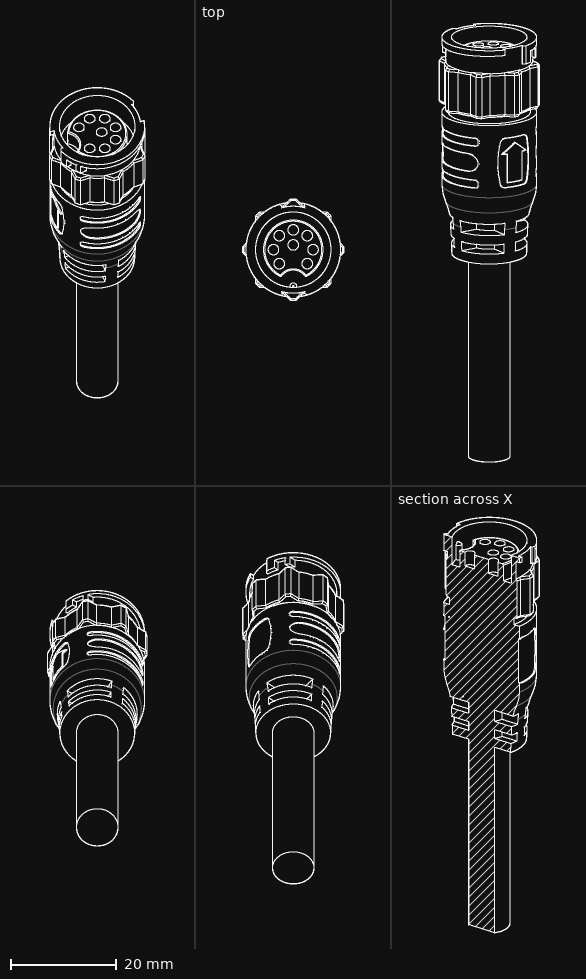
import cadquery as cq
import math


COUPLING_TOP_Z = -4.7
COUPLING_BOTTOM_Z = -13.4
BODY_TOP_Z = -14.8
SHOULDER_Z = -29.1
INFLECTION_Z = -32.3
SLEEVE_TOP_Z = -36.1
SLEEVE_BOTTOM_Z = -42.8
CABLE_END_Z = -83.0

BARREL_R = 8.25
NECK_R = 7.8
BODY_R = 9.0
INFLECTION_R = 8.35
SLEEVE_TOP_R = 7.4
SLEEVE_BOTTOM_R = 7.1
CABLE_R = 3.95

SOCKET_R = 7.15
SOCKET_DEPTH = 6.0
INSERT_R = 5.63
INSERT_TOP_Z = -2.4
INSERT_CHAMFER = 0.23
KEYWAY_R = 2.8
KEYWAY_Y = -6.66
CONTACT_HOLE_R = 1.0
CONTACT_HOLE_DEPTH = 3.0
CONTACT_CIRCLE_R = 3.75
CONTACT_STEP = 45
CONTACT_START = -45
CONTACT_COUNT = 7
CENTRE_CONTACT_Y = 0.9
SOCKET_KEY_R = 0.65
SOCKET_KEY_Y = -6.95
SOCKET_KEY_TOP_Z = INSERT_TOP_Z
SOCKET_KEY_BEVEL = 0.5

RIM_R = 9.0
RIM_MEAN_HEIGHT = 1.25
RIM_RAMP_SLOPE = 0.02
RIM_RAMP_ANGLE = math.degrees(math.atan(RIM_RAMP_SLOPE))
RIM_NOTCH_HALF_WIDTH = 2.15
STOP_LUG_WIDTH = 2.0
STOP_BEVEL_WIDTH = 0.55
STOP_BEVEL_START_R = 8.55
STOP_LUG_BOTTOM_Z = -3.6
DETENT_LUG_X = 5.9
DETENT_LUG_WIDTH = 0.7
DETENT_LUG_BOTTOM_Z = -3.4

RIB_COUNT = 8
RIB_TIP_R = 9.585
RIB_TIP_HALF_WIDTH = 0.55
RIB_BASE_HALF_WIDTH = 1.9
COUPLING_R = 8.5
COUPLING_BEVEL = 0.3
COUPLING_BEVEL_HEIGHT = 0.45

RECESS_DEPTH = 0.25
GRIP_CENTRE_Z = -22.4
GRIP_LENGTH = 12.3
GRIP_SPACING = 4.15
WIDE_GRIP_HEIGHT = 3.5
NARROW_GRIP_HEIGHT = 1.55
NARROW_GRIP_CORNER_R = 0.5

PANEL_HALF_HEIGHT = 4.9
PANEL_END_HALF_WIDTH = 2.85
PANEL_MID_HALF_WIDTH = 3.5
PANEL_CORNER_R = 1.0
ARROW_TIP_Z = -18.6
ARROW_HEAD_Z = -20.65
ARROW_TAIL_Z = -26.35
ARROW_HEAD_HALF_WIDTH = 2.7
ARROW_SHAFT_HALF_WIDTH = 1.67

WINDOW_ROWS = [(-34.8, -37.1), (-39.0, -40.8)]
WEB_HALF_WIDTH = 1.3

REACH = 12.0


def cylinder(radius, top_z, bottom_z):
    return cq.Workplane("XY").workplane(offset=bottom_z).circle(radius).extrude(top_z - bottom_z)


def block(x_range, y_range, z_range):
    sizes = [high - low for low, high in (x_range, y_range, z_range)]
    return cq.Workplane("XY").box(*sizes, centered=False).translate((x_range[0], y_range[0], z_range[0]))


def turned_shape():
    """Barrel, neck, body with its S-shaped shoulder, tapered sleeve and cable."""
    return (
        cq.Workplane("XZ")
        .moveTo(0, 0)
        .lineTo(BARREL_R, 0)
        .lineTo(BARREL_R, COUPLING_BOTTOM_Z)
        .lineTo(NECK_R, COUPLING_BOTTOM_Z)
        .lineTo(NECK_R, BODY_TOP_Z)
        .lineTo(BODY_R, BODY_TOP_Z)
        .lineTo(BODY_R, SHOULDER_Z)
        .tangentArcPoint((INFLECTION_R, INFLECTION_Z), relative=False)
        .tangentArcPoint((SLEEVE_TOP_R, SLEEVE_TOP_Z), relative=False)
        .lineTo(SLEEVE_BOTTOM_R, SLEEVE_BOTTOM_Z)
        .lineTo(CABLE_R, SLEEVE_BOTTOM_Z)
        .lineTo(CABLE_R, CABLE_END_Z)
        .lineTo(0, CABLE_END_Z)
        .close()
        .revolve(360, (0, 0, 0), (0, 1, 0))
    )


def stop_bevel():
    """Wedge that slants the leading side of the stop lug where it faces the entry notch."""
    bevel_end_x = RIM_NOTCH_HALF_WIDTH + STOP_BEVEL_WIDTH
    start_y = -math.sqrt(STOP_BEVEL_START_R**2 - RIM_NOTCH_HALF_WIDTH**2)
    end_y = -math.sqrt(RIM_R**2 - bevel_end_x**2)
    corners = [(RIM_NOTCH_HALF_WIDTH, start_y), (bevel_end_x, end_y)]
    corners += [(bevel_end_x, -REACH), (RIM_NOTCH_HALF_WIDTH, -REACH)]
    return cq.Workplane("XY").polyline(corners).close().extrude(COUPLING_TOP_Z)


def bayonet_rim():
    """Rim with a ramped underside, two entry notches and the locking lugs, alike every half turn."""
    below = block((0, REACH), (-REACH, REACH), (-REACH, -RIM_MEAN_HEIGHT))
    below = below.rotate((0, 0, -RIM_MEAN_HEIGHT), (1, 0, -RIM_MEAN_HEIGHT), RIM_RAMP_ANGLE)
    rim_tall = cylinder(RIM_R, 0, COUPLING_TOP_Z)
    sector = block((RIM_NOTCH_HALF_WIDTH, REACH), (-REACH, REACH), (COUPLING_TOP_Z, 0))
    half = rim_tall.intersect(sector).cut(below)
    for start, width, bottom in (
        (RIM_NOTCH_HALF_WIDTH, STOP_LUG_WIDTH, STOP_LUG_BOTTOM_Z),
        (DETENT_LUG_X, DETENT_LUG_WIDTH, DETENT_LUG_BOTTOM_Z),
    ):
        half = half.union(rim_tall.intersect(block((start, start + width), (-REACH, 0), (bottom, 0))))
    half = half.cut(stop_bevel())
    return half.union(half.rotate((0, 0, 0), (0, 0, 1), 180))


def coupling_section(inset):
    """Ring section with its ribs, drawn smaller by the inset."""
    radius = COUPLING_R - inset
    tip_r = RIB_TIP_R - inset
    flank_angle = math.atan2(RIB_TIP_R - COUPLING_R, RIB_BASE_HALF_WIDTH - RIB_TIP_HALF_WIDTH)
    tip_half = RIB_TIP_HALF_WIDTH - inset * math.tan(flank_angle / 2)
    base_half = RIB_BASE_HALF_WIDTH - inset * math.tan(flank_angle / 2)
    base_x = math.sqrt(radius**2 - base_half**2)
    rib = [(0, -base_half), (base_x, -base_half), (tip_r, -tip_half)]
    rib += [(tip_r, tip_half), (base_x, base_half), (0, base_half)]
    return radius, rib


def coupling_ring():
    """Ring with bevelled ribs; each bevel is lofted between two sections."""
    full_radius, full_rib = coupling_section(0)
    end_radius, end_rib = coupling_section(COUPLING_BEVEL)
    levels = [
        COUPLING_BOTTOM_Z,
        COUPLING_BOTTOM_Z + COUPLING_BEVEL_HEIGHT,
        COUPLING_TOP_Z - COUPLING_BEVEL_HEIGHT,
        COUPLING_TOP_Z,
    ]
    sections = [(end_radius, end_rib), (full_radius, full_rib), (full_radius, full_rib), (end_radius, end_rib)]
    ring = (
        cq.Workplane("XZ")
        .polyline([(0, levels[0])] + [(s[0], z) for s, z in zip(sections, levels)] + [(0, levels[-1])])
        .close()
        .revolve(360, (0, 0, 0), (0, 1, 0))
    )
    rib = None
    for index in range(len(levels) - 1):
        piece = (
            cq.Workplane("XY")
            .workplane(offset=levels[index])
            .polyline(sections[index][1])
            .close()
            .workplane(offset=levels[index + 1] - levels[index])
            .polyline(sections[index + 1][1])
            .close()
            .loft(ruled=True)
        )
        rib = piece if rib is None else rib.union(piece)
    for index in range(RIB_COUNT):
        ring = ring.union(rib.rotate((0, 0, 0), (0, 0, 1), index * 360 / RIB_COUNT))
    return ring


def contact_insert():
    """Keyed insert standing on the socket floor, with its contact holes."""
    insert = cylinder(INSERT_R, INSERT_TOP_Z, -SOCKET_DEPTH)
    keyway = cylinder(KEYWAY_R, 0, -SOCKET_DEPTH).translate((0, KEYWAY_Y, 0))
    insert = insert.cut(keyway).faces(">Z").chamfer(INSERT_CHAMFER)
    angles = [math.radians(CONTACT_START + i * CONTACT_STEP) for i in range(CONTACT_COUNT)]
    places = [(CONTACT_CIRCLE_R * math.cos(a), CONTACT_CIRCLE_R * math.sin(a)) for a in angles]
    places.append((0, CENTRE_CONTACT_Y))
    holes = (
        cq.Workplane("XY")
        .workplane(offset=INSERT_TOP_Z)
        .pushPoints(places)
        .circle(CONTACT_HOLE_R)
        .extrude(-CONTACT_HOLE_DEPTH)
    )
    return insert.cut(holes)


def socket_key():
    """Round-nosed key rib on the socket wall with a conical lead-in at its top."""
    peg = cylinder(SOCKET_KEY_R, SOCKET_KEY_TOP_Z, -SOCKET_DEPTH)
    return peg.faces(">Z").chamfer(SOCKET_KEY_BEVEL).translate((0, SOCKET_KEY_Y, 0))


def recess_shell():
    """Thin outer layer of the body, into which the recesses are sunk."""
    outer = cylinder(BODY_R + RECESS_DEPTH, BODY_TOP_Z, SHOULDER_Z)
    return outer.cut(cylinder(BODY_R - RECESS_DEPTH, BODY_TOP_Z, SHOULDER_Z))


def grip_recesses():
    """One wide and two narrow recesses on each X side."""
    plane = cq.Workplane("YZ", origin=(-REACH, 0, GRIP_CENTRE_Z))
    tools = plane.slot2D(GRIP_LENGTH, WIDE_GRIP_HEIGHT).extrude(2 * REACH)
    narrow = plane.rect(GRIP_LENGTH, NARROW_GRIP_HEIGHT).extrude(2 * REACH)
    narrow = narrow.edges("|X").fillet(NARROW_GRIP_CORNER_R)
    for side in (-1, 1):
        tools = tools.union(narrow.translate((0, 0, side * GRIP_SPACING)))
    return tools.intersect(recess_shell())


def arrow_prism():
    right_side = [
        (ARROW_HEAD_HALF_WIDTH, ARROW_HEAD_Z),
        (ARROW_SHAFT_HALF_WIDTH, ARROW_HEAD_Z),
        (ARROW_SHAFT_HALF_WIDTH, ARROW_TAIL_Z),
    ]
    left_side = [(-x, z) for x, z in reversed(right_side)]
    return cq.Workplane("XZ").polyline([(0, ARROW_TIP_Z)] + right_side + left_side).close().extrude(REACH)


def panel_recesses():
    """Bulging panel on each Y side; the -Y panel keeps a raised arrow."""
    top_z = GRIP_CENTRE_Z + PANEL_HALF_HEIGHT
    bottom_z = GRIP_CENTRE_Z - PANEL_HALF_HEIGHT
    panel = (
        cq.Workplane("XZ")
        .moveTo(-PANEL_END_HALF_WIDTH, top_z)
        .lineTo(PANEL_END_HALF_WIDTH, top_z)
        .threePointArc((PANEL_MID_HALF_WIDTH, GRIP_CENTRE_Z), (PANEL_END_HALF_WIDTH, bottom_z))
        .lineTo(-PANEL_END_HALF_WIDTH, bottom_z)
        .threePointArc((-PANEL_MID_HALF_WIDTH, GRIP_CENTRE_Z), (-PANEL_END_HALF_WIDTH, top_z))
        .close()
        .extrude(REACH, both=True)
        .edges("|Y")
        .fillet(PANEL_CORNER_R)
    )
    return panel.cut(arrow_prism()).intersect(recess_shell())


def relief_windows():
    """Two rows of corner windows between the webs; the cable stays whole but for the (-X, +Y) corner."""
    windows = cq.Workplane("XY")
    outward = (WEB_HALF_WIDTH, REACH)
    inward = (-REACH, -WEB_HALF_WIDTH)
    for top, bottom in WINDOW_ROWS:
        core = cylinder(CABLE_R, top, bottom)
        for x_range, y_range in ((outward, outward), (outward, inward), (inward, inward)):
            windows = windows.add(block(x_range, y_range, (bottom, top)).cut(core))
        windows = windows.add(block(inward, outward, (bottom, top)))
    return windows.combine()


result = turned_shape().union(bayonet_rim()).union(coupling_ring())
result = result.cut(cylinder(SOCKET_R, 0, -SOCKET_DEPTH))
result = result.union(contact_insert()).union(socket_key())
result = result.cut(grip_recesses()).cut(panel_recesses()).cut(relief_windows())